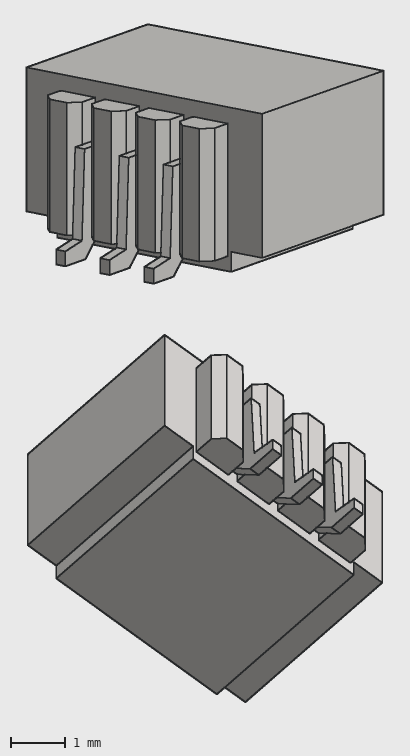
import cadquery as cq

HOUSING_WIDTH = 5.35
HOUSING_DEPTH = 3.7
TOP_Z = 3.2
SHOULDER_Z = 0.48
BASE_Z = 0.1
BASE_WIDTH = 3.95

PITCH = 1.0
PIN_COUNT = 3
PIN_WIDTH = 0.215
RIB_COUNT = PIN_COUNT + 1
RIB_WIDTH = PITCH - PIN_WIDTH
RIB_DEPTH = 0.6
RIB_CHAMFER = 0.2
RIB_BOTTOM_Z = 0.385
RIB_TOP_Z = 2.89

PIN_REACH = 1.2
PIN_TOP_Z = 2.085
PIN_TOP_REACH = 0.615
BEND_REACH = 0.695
BEND_Z = 0.375
TOE_HEIGHT = 0.285
HEEL_REACH = 0.59


def centred_row(count):
    """X positions of a row at the pin pitch, centred on X = 0."""
    return [(i - (count - 1) / 2) * PITCH for i in range(count)]


def make_block(width, bottom_z, top_z):
    """Box spanning the housing depth, centred on X = 0."""
    return cq.Workplane("XY").box(
        width, HOUSING_DEPTH, top_z - bottom_z, centered=(True, False, False)
    ).translate((0, 0, bottom_z))


def make_rib(x):
    """Upright rib with both front vertical edges chamfered."""
    rib = cq.Workplane("XY").box(
        RIB_WIDTH, RIB_DEPTH, RIB_TOP_Z - RIB_BOTTOM_Z, centered=(True, False, False)
    )
    rib = rib.faces("<Y").edges("|Z").chamfer(RIB_CHAMFER)
    return rib.translate((x, -RIB_DEPTH, RIB_BOTTOM_Z))


def make_housing():
    """Stepped housing with its row of front ribs."""
    housing = make_block(HOUSING_WIDTH, SHOULDER_Z, TOP_Z)
    housing = housing.union(make_block(BASE_WIDTH, BASE_Z, SHOULDER_Z))
    for x in centred_row(RIB_COUNT):
        housing = housing.union(make_rib(x))
    return housing


def make_pin(x):
    """Flat pin filling the gap between two ribs, with a foot turned forward."""
    profile = [
        (0, PIN_TOP_Z),
        (-PIN_TOP_REACH, PIN_TOP_Z),
        (-BEND_REACH, BEND_Z),
        (-PIN_REACH, TOE_HEIGHT),
        (-PIN_REACH, 0),
        (-HEEL_REACH, 0),
        (0, HEEL_REACH),
    ]
    pin = cq.Workplane("YZ").polyline(profile).close().extrude(PIN_WIDTH / 2, both=True)
    return pin.translate((x, 0, 0))


housing = make_housing()
pins = [make_pin(x) for x in centred_row(PIN_COUNT)]

result = cq.Compound.makeCompound([housing.solids().val(), *[pin.val() for pin in pins]])